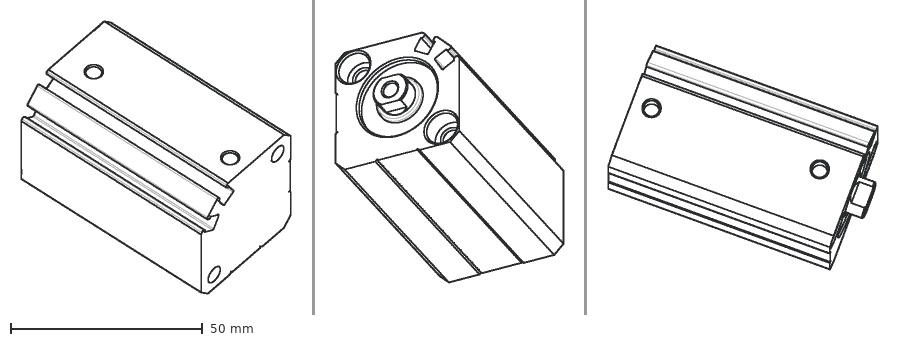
import cadquery as cq
import math

TOTAL_LENGTH = 66.0
ROD_REACH = 4.35
HOUSING_SIDE = 36.0
HALF_SIDE = HOUSING_SIDE / 2
HOUSING_LENGTH = TOTAL_LENGTH - ROD_REACH
CORNER_CHAMFER = 2.7
SLOT_CORNER_CHAMFER = 9.0

PANEL_HALF_WIDTH = 5.8
PANEL_DEPTH = 0.2
PANEL_GROOVE_DEPTH = 0.6

SLOT_ANGLE = 30.0
SLANT_ANGLE = 45.0
SLOT_FLOOR = 13.7
SLOT_HALF_WIDTH = 2.3
SLOT_FLOOR_FILLET = 0.3
LIP_LEDGE = 17.7
LIP_TOP = 19.15
LIP_ROUND = 0.5
MOUTH_HALF_WIDTH = 1.65
SLOT_REACH = 26.4
MOUTH_CLEARANCE = 6.6

RECESS_DIAMETER = 22.8
RECESS_DEPTH = 2.0
RECESS_CHAMFER = 0.5
BOSS_DIAMETER = 13.0
BOSS_HEIGHT = 1.5
BOSS_ROUND = 0.5

MOUNT_OFFSET = 12.75
MOUNT_DIAMETER = 4.9
MOUNT_CHAMFER = 0.5
COUNTERBORE_DIAMETER = 9.0
COUNTERBORE_CHAMFER = 0.5
COUNTERBORE_DEPTH = 5.6

PORT_DIAMETER = 4.15
PORT_CHAMFER = 0.4
PORT_DEPTH = 5.0
FRONT_PORT_X = 9.5
REAR_PORT_X = HOUSING_LENGTH - 5.4

ROD_DIAMETER = 10.0
ROD_CHAMFER = 0.3
ROD_SEAT_DEPTH = 19.8
FLAT_HALF_WIDTH = 4.0
FLAT_LENGTH = 3.95
ROD_HOLE_DIAMETER = 4.15
ROD_HOLE_CHAMFER = 0.4
ROD_HOLE_DEPTH = 11.9
DRILL_POINT_ANGLE = 118.0


def disc(x, diameter, length, y=0.0, z=0.0):
    """Cylinder along +X that starts at the given point."""
    return cq.Workplane("YZ", origin=(x, y, z)).circle(diameter / 2).extrude(length)


def chamfered_bore(x, diameter, depth, chamfer, y=0.0, z=0.0):
    """Cutter for a bore along +X with a 45 degree chamfer at its mouth."""
    radius = diameter / 2
    mouth = cq.Solid.makeCone(
        radius + chamfer, radius, chamfer, cq.Vector(x, y, z), cq.Vector(1, 0, 0)
    )
    return disc(x, diameter, depth, y, z).union(cq.Workplane(mouth))


def make_block():
    slot_edge = HALF_SIDE - SLOT_CORNER_CHAMFER
    plain_edge = HALF_SIDE - CORNER_CHAMFER
    outline = [
        (-slot_edge, HALF_SIDE),
        (plain_edge, HALF_SIDE),
        (HALF_SIDE, plain_edge),
        (HALF_SIDE, -plain_edge),
        (plain_edge, -HALF_SIDE),
        (-plain_edge, -HALF_SIDE),
        (-HALF_SIDE, -plain_edge),
        (-HALF_SIDE, slot_edge),
    ]
    return cq.Workplane("YZ").polyline(outline).close().extrude(HOUSING_LENGTH)


def across_corner(cutter):
    """Mirror image of a cutter that swaps the +Z and -Y faces."""
    return cutter.mirror(cq.Vector(0, 1, 1))


def make_panel_cutter():
    """Shallow panel with a groove along both edges, in the -Z face."""
    groove_edge = PANEL_HALF_WIDTH + PANEL_GROOVE_DEPTH
    floor = -HALF_SIDE + PANEL_DEPTH
    groove_floor = -HALF_SIDE + PANEL_GROOVE_DEPTH
    outline = [
        (-groove_edge, -HALF_SIDE),
        (-PANEL_HALF_WIDTH, groove_floor),
        (-PANEL_HALF_WIDTH, floor),
        (PANEL_HALF_WIDTH, floor),
        (PANEL_HALF_WIDTH, groove_floor),
        (groove_edge, -HALF_SIDE),
    ]
    return cq.Workplane("YZ").polyline(outline).close().extrude(HOUSING_LENGTH)


def make_slot_cutter():
    """Slot with rounded lips that opens between the top face and the slanted corner."""
    tilt = math.radians(SLOT_ANGLE)
    slot_plane = cq.Plane(
        origin=(HOUSING_LENGTH, 0, 0),
        xDir=(0, -math.cos(tilt), -math.sin(tilt)),
        normal=(-1, 0, 0),
    )
    pocket = (
        cq.Workplane(slot_plane)
        .moveTo(0, (SLOT_FLOOR + LIP_LEDGE) / 2)
        .rect(2 * SLOT_HALF_WIDTH, LIP_LEDGE - SLOT_FLOOR)
        .extrude(HOUSING_LENGTH)
    )
    floor_middle = slot_plane.toWorldCoords((0, SLOT_FLOOR, HOUSING_LENGTH / 2)).toTuple()
    floor = cq.selectors.NearestToPointSelector(floor_middle)
    pocket = pocket.faces(floor).edges("|X").fillet(SLOT_FLOOR_FILLET)

    round_centre = MOUTH_HALF_WIDTH + LIP_ROUND
    half_round = LIP_ROUND * math.sqrt(0.5)
    slant = math.radians(SLANT_ANGLE - SLOT_ANGLE)
    slant_distance = (HOUSING_SIDE - SLOT_CORNER_CHAMFER) * math.sqrt(0.5)
    slant_centre = (slant_distance - LIP_ROUND - round_centre * math.sin(slant)) / math.cos(slant)
    slant_end = (
        round_centre + LIP_ROUND * math.sin(slant),
        slant_centre + LIP_ROUND * math.cos(slant),
    )
    inner_centre = LIP_LEDGE + LIP_ROUND
    outer_centre = LIP_TOP - LIP_ROUND
    mouth = (
        cq.Workplane(slot_plane)
        .moveTo(-round_centre, LIP_LEDGE)
        .threePointArc(
            (-round_centre + half_round, inner_centre - half_round), (-MOUTH_HALF_WIDTH, inner_centre)
        )
        .lineTo(-MOUTH_HALF_WIDTH, outer_centre)
        .threePointArc((-round_centre + half_round, outer_centre + half_round), (-round_centre, LIP_TOP))
        .lineTo(-MOUTH_CLEARANCE, LIP_TOP)
        .lineTo(-MOUTH_CLEARANCE, SLOT_REACH)
        .lineTo(slant_end[0], SLOT_REACH)
        .lineTo(*slant_end)
        .threePointArc(
            (round_centre - half_round, slant_centre + half_round), (MOUTH_HALF_WIDTH, slant_centre)
        )
        .lineTo(MOUTH_HALF_WIDTH, inner_centre)
        .threePointArc((round_centre - half_round, inner_centre - half_round), (round_centre, LIP_LEDGE))
        .close()
        .extrude(HOUSING_LENGTH)
    )
    return pocket.union(mouth)


def make_recess_cutter():
    """Front recess that leaves a round-edged boss standing on its floor."""
    recess = chamfered_bore(0, RECESS_DIAMETER, RECESS_DEPTH, RECESS_CHAMFER)
    boss = disc(RECESS_DEPTH - BOSS_HEIGHT, BOSS_DIAMETER, BOSS_HEIGHT)
    boss = boss.faces("<X").edges().fillet(BOSS_ROUND)
    return recess.cut(boss)


def make_mount_cutter(y, z):
    """Through hole with a counterbore at the front."""
    counterbore = chamfered_bore(0, COUNTERBORE_DIAMETER, COUNTERBORE_DEPTH, COUNTERBORE_CHAMFER, y, z)
    hole_length = HOUSING_LENGTH - COUNTERBORE_DEPTH
    hole = chamfered_bore(COUNTERBORE_DEPTH, MOUNT_DIAMETER, hole_length, MOUNT_CHAMFER, y, z)
    return counterbore.union(hole)


def make_port_cutter(x):
    """Blind port with a chamfered mouth, down from the top face."""
    port = chamfered_bore(0, PORT_DIAMETER, PORT_DEPTH, PORT_CHAMFER)
    return port.rotate((0, 0, 0), (0, 1, 0), 90).translate((x, 0, HALF_SIDE))


def make_housing():
    housing = make_block()
    for cutter in (make_panel_cutter(), make_slot_cutter()):
        housing = housing.cut(cutter).cut(across_corner(cutter))
    housing = housing.cut(make_recess_cutter())
    for side in (1, -1):
        housing = housing.cut(make_mount_cutter(side * MOUNT_OFFSET, side * MOUNT_OFFSET))
    for x in (FRONT_PORT_X, REAR_PORT_X):
        housing = housing.cut(make_port_cutter(x))
    rod_seat = disc(0, ROD_DIAMETER, ROD_SEAT_DEPTH)
    return housing.cut(rod_seat)


def make_flat_cutter():
    """Wrench flat on top of the rod tip, with a 45 degree run-out at its end."""
    flat_end = FLAT_LENGTH - ROD_REACH
    run_out = ROD_DIAMETER / 2 - FLAT_HALF_WIDTH
    outline = [
        (-ROD_REACH, FLAT_HALF_WIDTH),
        (flat_end, FLAT_HALF_WIDTH),
        (flat_end + run_out, FLAT_HALF_WIDTH + run_out),
        (-ROD_REACH, FLAT_HALF_WIDTH + run_out),
    ]
    return cq.Workplane("XZ").polyline(outline).close().extrude(ROD_DIAMETER / 2, both=True)


def make_rod_hole_cutter():
    """Chamfered hole with a drill point, in the rod tip."""
    hole = chamfered_bore(-ROD_REACH, ROD_HOLE_DIAMETER, ROD_HOLE_DEPTH, ROD_HOLE_CHAMFER)
    hole_radius = ROD_HOLE_DIAMETER / 2
    point_length = hole_radius / math.tan(math.radians(DRILL_POINT_ANGLE / 2))
    hole_end = cq.Vector(ROD_HOLE_DEPTH - ROD_REACH, 0, 0)
    drill_point = cq.Solid.makeCone(hole_radius, 0, point_length, hole_end, cq.Vector(1, 0, 0))
    return hole.union(cq.Workplane(drill_point))


def make_rod():
    rod = disc(-ROD_REACH, ROD_DIAMETER, ROD_REACH + ROD_SEAT_DEPTH)
    rod = rod.faces("<X").edges().chamfer(ROD_CHAMFER)
    flat = make_flat_cutter()
    rod = rod.cut(flat).cut(flat.mirror("XY"))
    return rod.cut(make_rod_hole_cutter())


housing = make_housing()
rod = make_rod()
result = cq.Compound.makeCompound([housing.val(), rod.val()])